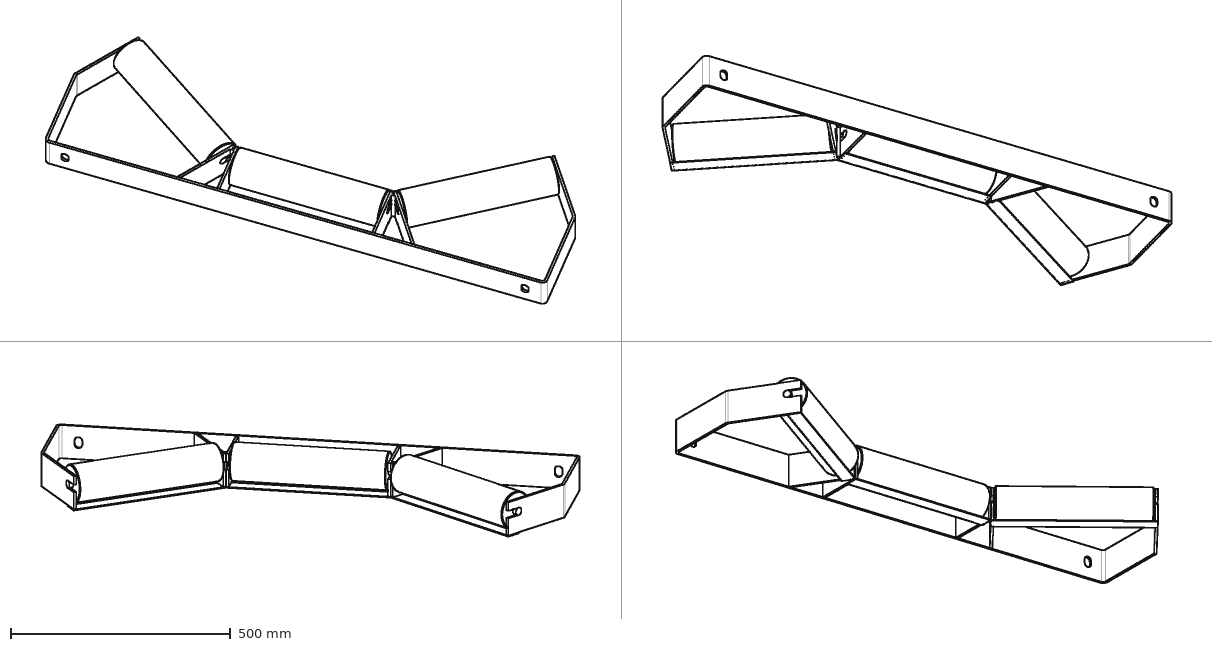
import cadquery as cq
import math

strap_height = 80.0
strap_thickness = 6.0
bend_radius = 12.0

frame_length = 1210.0
mount_slot_width = 18.0
mount_slot_height = 26.0
mount_slot_from_end = 50.0

trough_angle = 35.0
roller_diameter = 89.0
roller_length = 361.0
roller_edge_chamfer = 2.0
roller_top_above_strap = 15.0
seat_span = 380.0
center_roller_y = 99.5
wing_roller_x = 365.5
wing_roller_y = 214.0

shaft_diameter = 18.0
strap_above_axis = 33.0

web_thickness = 6.0
web_below_top = 6.0

plate_thickness = 2.5

half_frame = frame_length / 2
half_span = seat_span / 2
axis_z = strap_height + roller_top_above_strap - roller_diameter / 2
tilt_cos = math.cos(math.radians(trough_angle))
tilt_sin = math.sin(math.radians(trough_angle))


def wing_point(along, above):
    """Point of the right wing: distance outward along its axis and distance above the axis."""
    return (wing_roller_x + along * tilt_cos - above * tilt_sin,
            wing_roller_y + along * tilt_sin + above * tilt_cos)


def wing_point_at_y(along, y):
    """Point with the given Y on the line square to the right wing axis at the given distance."""
    above = (y - wing_roller_y - along * tilt_sin) / tilt_cos
    return wing_point(along, above)


def wing_point_at_x(along, x):
    """Point with the given X on the line square to the right wing axis at the given distance."""
    above = (wing_roller_x + along * tilt_cos - x) / tilt_sin
    return wing_point(along, above)


def mirrored_outline(right_points):
    """Close a right-hand chain of points with its mirror image about X = 0."""
    return right_points + [(-x, y) for x, y in reversed(right_points)]


def place_on_seats(level_body):
    """Copies of a body made about the origin along X: level, left wing and right wing."""
    copies = []
    for x, y, angle in (
        (0, center_roller_y, 0),
        (-wing_roller_x, wing_roller_y, -trough_angle),
        (wing_roller_x, wing_roller_y, trough_angle),
    ):
        copies.append(level_body.rotate((0, 0, 0), (0, 0, 1), angle).translate((x, y, 0)))
    return copies


slot_cutter = (
    cq.Workplane("YZ", origin=(-half_span, 0, axis_z))
    .circle(shaft_diameter / 2)
    .extrude(seat_span)
    .union(
        cq.Workplane("XY", origin=(0, strap_above_axis / 2, axis_z))
        .box(seat_span, strap_above_axis, shaft_diameter)
    )
)
slot_cutters = place_on_seats(slot_cutter)


def bent_prism(outline, radius):
    """Prism of strap height whose corners at the extreme X are rounded as bends."""
    prism = cq.Workplane("XY").polyline(outline).close().extrude(strap_height)
    return prism.edges("|Z").edges("<X or >X").fillet(radius)


def make_frame():
    tip_outside = wing_point(half_span, strap_above_axis)
    tip_inside = wing_point(half_span - strap_thickness, strap_above_axis)
    inner_half = half_frame - strap_thickness
    outside = bent_prism(
        mirrored_outline([
            (half_frame, 0),
            wing_point_at_x(half_span, half_frame),
            tip_outside,
            tip_inside,
        ]),
        bend_radius,
    )
    inside = bent_prism(
        mirrored_outline([
            (inner_half, strap_thickness),
            wing_point_at_x(half_span - strap_thickness, inner_half),
            tip_inside,
        ]),
        bend_radius - strap_thickness,
    )
    frame = outside.cut(inside)
    mount_x = half_frame - mount_slot_from_end
    mount_slots = (
        cq.Workplane("XZ", origin=(0, strap_thickness, strap_height / 2))
        .pushPoints([(-mount_x, 0), (mount_x, 0)])
        .slot2D(mount_slot_height, mount_slot_width, angle=90)
        .extrude(strap_thickness)
    )
    frame = frame.cut(mount_slots)
    for cutter in slot_cutters:
        frame = frame.cut(cutter)
    return frame


def make_bracket(side):
    """Upright leg and inclined leg standing on the frame, joined by a web near their tops."""
    upright = (
        cq.Workplane("XY")
        .polyline([
            (half_span - strap_thickness, strap_thickness),
            (half_span, strap_thickness),
            (half_span, center_roller_y + strap_above_axis),
            (half_span - strap_thickness, center_roller_y + strap_above_axis),
        ])
        .close()
        .extrude(strap_height)
    )
    inclined = (
        cq.Workplane("XY")
        .polyline([
            wing_point_at_y(-half_span, strap_thickness),
            wing_point(-half_span, strap_above_axis),
            wing_point(strap_thickness - half_span, strap_above_axis),
            wing_point_at_y(strap_thickness - half_span, strap_thickness),
        ])
        .close()
        .extrude(strap_height)
    )
    web_top = center_roller_y + strap_above_axis - web_below_top
    web_bottom = web_top - web_thickness
    web = (
        cq.Workplane("XY")
        .polyline([
            (half_span, web_bottom),
            wing_point_at_y(-half_span, web_bottom),
            wing_point_at_y(-half_span, web_top),
            (half_span, web_top),
        ])
        .close()
        .extrude(strap_height)
    )
    bracket = upright.union(inclined).union(web)
    if side < 0:
        bracket = bracket.mirror("YZ")
    for cutter in slot_cutters:
        bracket = bracket.cut(cutter)
    return bracket


def make_rollers():
    barrel = cq.Workplane("YZ", origin=(-roller_length / 2, 0, axis_z)).circle(roller_diameter / 2)
    barrel = barrel.extrude(roller_length).edges().chamfer(roller_edge_chamfer)
    shaft = cq.Workplane("YZ", origin=(-half_span, 0, axis_z)).circle(shaft_diameter / 2)
    return place_on_seats(barrel.union(shaft.extrude(seat_span)))


def make_plates():
    plate = (
        cq.Workplane("XY", origin=(0, strap_above_axis / 2, -plate_thickness / 2))
        .box(seat_span, strap_above_axis, plate_thickness)
    )
    return place_on_seats(plate)


frame = make_frame()
brackets = [make_bracket(side) for side in (-1, 1)]
rollers = make_rollers()
plates = make_plates()
result = cq.Compound.makeCompound([body.val() for body in [frame] + brackets + rollers + plates])